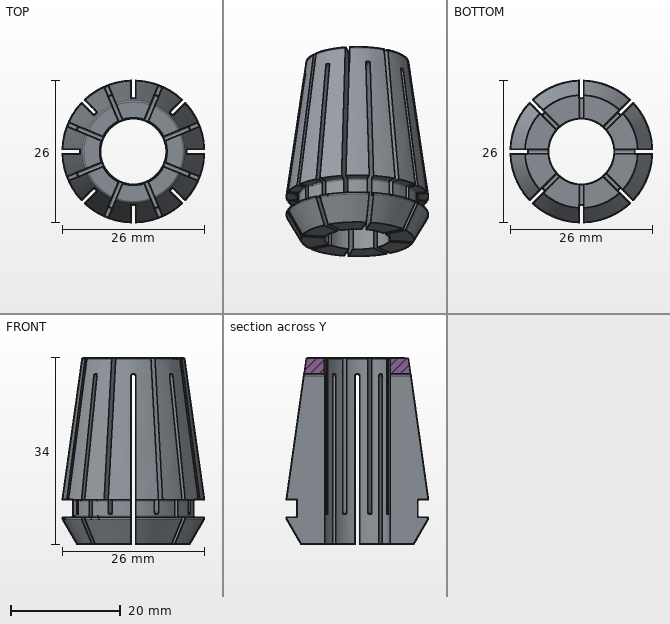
import cadquery as cq
import math

height = 34.0
max_radius = 13.0
bore_radius = 12.0 / 2

cone_half_angle = 8.0
cone_base_z = 8.13
cone_top_radius = max_radius - (height - cone_base_z) * math.tan(math.radians(cone_half_angle))

groove_radius = 11.05
groove_floor_z = 4.93
nose_half_angle = 30.0
nose_base_radius = 10.3
nose_rim_radius = nose_base_radius + groove_floor_z * math.tan(math.radians(nose_half_angle))

top_fillet = 0.3
groove_fillet = 0.2
rim_fillet = 0.25
bore_chamfer = 0.17
edge_margin = 0.05

slot_width = 0.8
slots_per_set = 8
slot_pitch = 360.0 / slots_per_set
nose_slot_end_z = 31.08
top_slot_end_z = 5.47
slot_reach = max_radius + 0.35
slot_overrun = 0.35


def circle_box(radius, z):
    """Selector for edges near height z that lie wholly within the given radius."""
    return cq.selectors.BoxSelector(
        (-radius, -radius, z - edge_margin),
        (radius, radius, z + edge_margin),
        boundingbox=True,
    )


def round_edge(body, radius, z, fillet_radius):
    """Fillet the single circular edge of the given radius lying at height z."""
    circle = circle_box(radius + edge_margin, z) - circle_box(radius - edge_margin, z)
    return body.edges(circle).fillet(fillet_radius)


def revolved_body():
    """Cone, groove and nose turned about Z as one ring around the bore."""
    profile = (
        cq.Workplane("XZ")
        .moveTo(bore_radius, 0)
        .lineTo(nose_base_radius, 0)
        .lineTo(nose_rim_radius, groove_floor_z)
        .lineTo(groove_radius, groove_floor_z)
        .lineTo(groove_radius, cone_base_z)
        .lineTo(max_radius, cone_base_z)
        .lineTo(cone_top_radius, height)
        .lineTo(bore_radius + bore_chamfer, height)
        .lineTo(bore_radius, height - bore_chamfer)
        .close()
    )
    body = profile.revolve(360, (0, 0), (0, 1))
    body = round_edge(body, cone_top_radius, height, top_fillet)
    body = round_edge(body, groove_radius, cone_base_z, groove_fillet)
    body = round_edge(body, groove_radius, groove_floor_z, groove_fillet)
    return round_edge(body, nose_rim_radius, groove_floor_z, rim_fillet)


def radial_slot(open_z, end_z, angle):
    """Slot cutter from the axis outward along `angle`, with a round end that peaks at end_z."""
    half_width = slot_width / 2
    arc_start_z = end_z + math.copysign(half_width, open_z - end_z)
    cutter = (
        cq.Workplane("YZ")
        .moveTo(-half_width, open_z)
        .lineTo(-half_width, arc_start_z)
        .threePointArc((0, end_z), (half_width, arc_start_z))
        .lineTo(half_width, open_z)
        .close()
        .extrude(slot_reach)
    )
    return cutter.rotate((0, 0, 0), (0, 0, 1), angle)


result = revolved_body()
for index in range(slots_per_set):
    nose_slot_angle = index * slot_pitch
    top_slot_angle = nose_slot_angle + slot_pitch / 2
    result = result.cut(radial_slot(-slot_overrun, nose_slot_end_z, nose_slot_angle))
    result = result.cut(radial_slot(height + slot_overrun, top_slot_end_z, top_slot_angle))